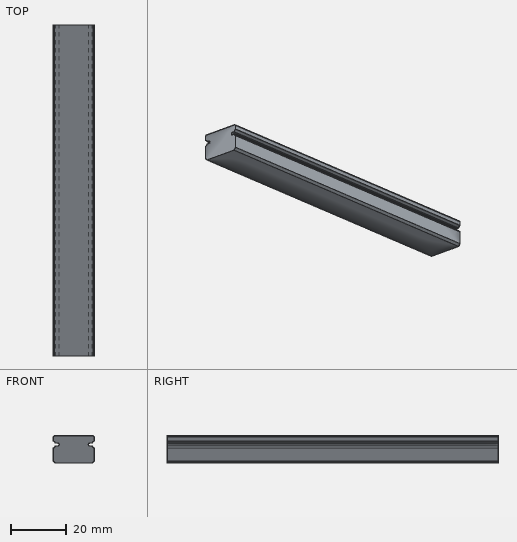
import cadquery as cq
import math

LENGTH = 120.0
WIDTH = 15.0
HEIGHT = 10.0
TOP_CHAMFER = 0.5
BASE_CHAMFER = 0.8

TRACK_BELOW_TOP = 1.9
TRACK_RADIUS = 1.3
TRACK_HEIGHT = 2.5
TRACK_Z = HEIGHT - TRACK_BELOW_TOP - TRACK_HEIGHT / 2
RELIEF_HEIGHT = 1.0
RELIEF_DEPTH = 2.2

CAP_COUNT = 3
CAP_PITCH = LENGTH / CAP_COUNT
CAP_DIAMETER = 6.0
CAP_THICKNESS = 1.2


def rail_blank():
    """Rectangular bar with all four long edges chamfered."""
    bar = cq.Workplane("XY").box(WIDTH, LENGTH, HEIGHT, centered=(True, True, False))
    bar = bar.edges("|Y and >Z").chamfer(TOP_CHAMFER)
    return bar.edges("|Y and <Z").chamfer(BASE_CHAMFER)


def side_groove(side):
    """Ball track and round-bottomed relief slot for the side at +X (side = 1) or -X (side = -1)."""
    face_x = WIDTH / 2
    centre_x = face_x + math.sqrt(TRACK_RADIUS**2 - (TRACK_HEIGHT / 2) ** 2)
    relief_radius = RELIEF_HEIGHT / 2
    relief_end_x = face_x - RELIEF_DEPTH + relief_radius
    relief_length = centre_x - relief_end_x

    plane = cq.Workplane("XZ")
    track = plane.center(side * centre_x, TRACK_Z).circle(TRACK_RADIUS).extrude(LENGTH / 2, both=True)
    slot = (
        plane.center(side * (relief_end_x + centre_x) / 2, TRACK_Z)
        .slot2D(relief_length + RELIEF_HEIGHT, RELIEF_HEIGHT)
        .extrude(LENGTH / 2, both=True)
    )
    return track.union(slot)


def bolt_hole_caps():
    """Evenly spaced discs along the centre line, level with the top face."""
    seats = cq.Workplane("XY").workplane(offset=HEIGHT - CAP_THICKNESS)
    return seats.rarray(1.2, CAP_PITCH, 1, CAP_COUNT).circle(CAP_DIAMETER / 2).extrude(CAP_THICKNESS)


rail = rail_blank()
for side in (-1, 1):
    rail = rail.cut(side_groove(side))

result = rail.union(bolt_hole_caps(), clean=False).solids()